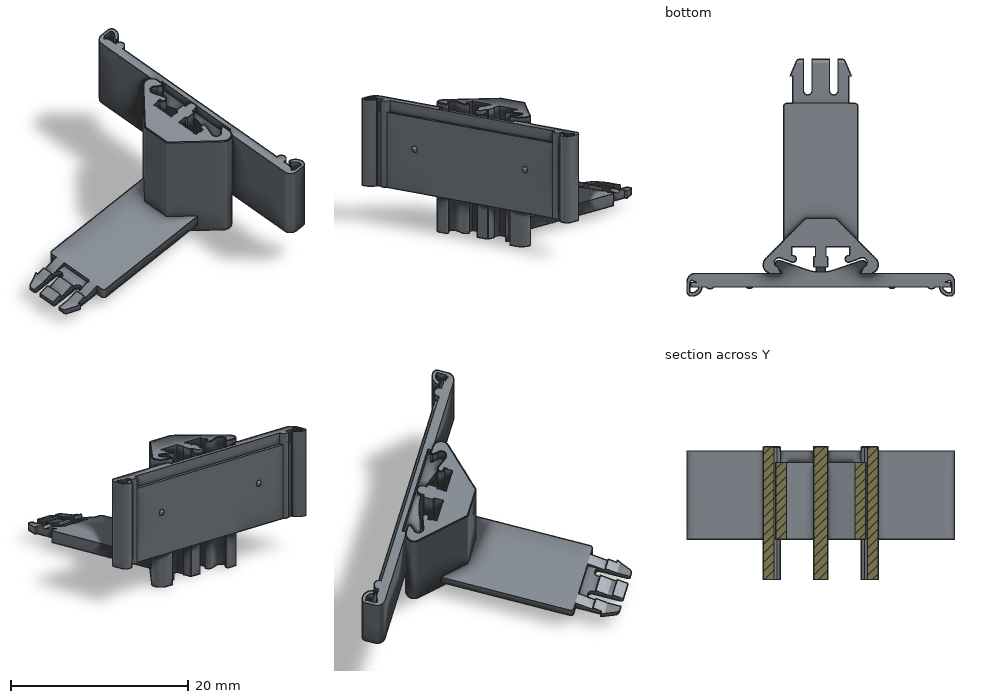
import cadquery as cq
import math

overlap = 0.3

plate_length = 30.2
bracket_height = 15.0

plate_bottom = 4.53
plate_top = 14.53
plate_front = -0.03
plate_back = 1.05
plate_corner_radius = 0.95
plate_half = plate_length / 2
clip_wall = 0.33
clip_top = 2.55
clip_round_start = 2.05
clip_round_radius = 0.5
clip_crown_x = -14.6
clip_outer_bend = (-13.77, 2.25)
clip_tip_x = -13.4
clip_tip_y = 1.7
clip_tip_inner = (-13.75, 1.48)
clip_inner_bend = (-14.05, 1.95)
clip_inner_crown = (-14.5, 2.15)
clip_inner_corner_y = 2.08
groove_bottom = (-14.6, 0.72)
groove_end_x = -13.9

strip_half = 14.68
strip_back = 1.5
strip_sunk = 0.05
strip_top = 13.23
bead_x = 8.03
bead_z = (plate_bottom + plate_top) / 2
bead_radius = 0.45
bead_height = 0.18

rib_x = 12.5
rib_radius = 0.55
rib_center_y = 1.18

rail_top = strip_top
rail_lobe_x = -4.7
rail_lobe_y = -1.1
rail_lobe_radius = 0.42
rail_neck_half = 4.47
neck_y = -0.27
neck_angle = 115
lobe_side_angle = 200
rail_lobe_end_angle = 289
rail_bend = (-1.5, -0.42)
rail_crest = (-0.75, -0.25)
rail_apex_y = -0.18
recess_half = 5.32
recess_back = 0.48

bracket_front = -6.22
bracket_front_half = 1.72
bracket_corner_half = 7.9
bracket_corner_radius = 1.0
bracket_front_radius = 0.12
bracket_chamfer = 0.1

lobe_x = rail_lobe_x
lobe_y = -1.27
lobe_radius = 0.5
mouth_half = 4.55
mouth_radius = 0.12
lip_x = -3.15
lip_y = -1.65
lip_radius = 0.4
lip_nose_angle = 10
pocket_half = 3.25
throat_floor = -2.23
pocket_floor = -3.02

pin_foot_half = 0.6
pin_body_half = 0.82
pin_head_radius = 0.5
pin_head_center_y = -0.33
pin_head_bottom = plate_top
pin_body_bottom = -1.95
pin_body_top = -0.72
pin_step = 0.1

arm_half = 4.2
arm_start = -3.78
arm_end = -19.25
arm_bottom = 1.1
arm_top = 2.48
arm_corner_radius = 0.35

tip_y = -24.22
prong_bottom = 1.25
web_top = 2.0
catch_top = 2.4
prong_outer = 3.17
prong_inner = 1.93
tongue_half = 1.0
barb_x = 3.47
barb_y = -22.3
prong_tip_x = 2.35
tip_rounding = 0.45
taper_end = (-2.78, -23.92)
tip_curve_middle = (-2.63, -24.13)
slot_radius = (prong_inner - tongue_half) / 2
slot_center_y = -20.65
prong_catch_y = -21.2
tongue_catch_y = -20.9
catch_length = 1.5
catch_lean = 0.12
tongue_hook_y = -22.95
tongue_tip_top = 2.08


def with_mirror(half):
    """Join a half that ends on X = 0 with its mirror image."""
    return half.union(half.mirror("YZ"))


def on_circle(x, y, radius, degrees):
    angle = math.radians(degrees)
    return (x + radius * math.cos(angle), y + radius * math.sin(angle))


def extrude_between(profile, bottom, top):
    return profile.close().extrude(top - bottom).translate((0, 0, bottom))


def make_plate():
    inner_x = clip_wall - plate_half
    profile = (
        cq.Workplane("XY")
        .moveTo(0, plate_front)
        .lineTo(plate_corner_radius - plate_half, plate_front)
        .radiusArc((-plate_half, plate_front + plate_corner_radius), plate_corner_radius)
        .lineTo(-plate_half, clip_round_start)
        .radiusArc((clip_crown_x, clip_top), clip_round_radius)
        .threePointArc(clip_outer_bend, (clip_tip_x, clip_tip_y))
        .lineTo(clip_tip_x, strip_back)
        .lineTo(*clip_tip_inner)
        .threePointArc(clip_inner_bend, clip_inner_crown)
        .lineTo(inner_x, clip_inner_corner_y)
        .lineTo(inner_x, plate_back)
        .lineTo(*groove_bottom)
        .lineTo(groove_end_x, plate_back)
        .lineTo(0, plate_back)
    )
    return with_mirror(extrude_between(profile, plate_bottom, plate_top))


def make_ribs():
    ribs = cq.Workplane("XY").pushPoints([(-rib_x, rib_center_y), (rib_x, rib_center_y)]).circle(rib_radius)
    return ribs.extrude(plate_top - plate_bottom).translate((0, 0, plate_bottom))


def make_strip():
    strip_front = plate_back - strip_sunk
    strip = cq.Workplane("XY").box(
        2 * strip_half, strip_back - strip_front, strip_top - plate_bottom, centered=(True, False, False)
    )
    strip = strip.translate((0, strip_front, plate_bottom))
    bead_y = strip_back + bead_height - bead_radius
    for x in (-bead_x, bead_x):
        strip = strip.union(cq.Workplane("XY").sphere(bead_radius).translate((x, bead_y, bead_z)))
    return strip


def make_rail():
    lobe = (rail_lobe_x, rail_lobe_y, rail_lobe_radius)
    profile = (
        cq.Workplane("XY")
        .moveTo(0, recess_back)
        .lineTo(-recess_half, recess_back)
        .lineTo(-recess_half, plate_front)
        .lineTo(-rail_neck_half, plate_front)
        .lineTo(-rail_neck_half, neck_y)
        .lineTo(*on_circle(*lobe, neck_angle))
        .threePointArc(on_circle(*lobe, lobe_side_angle), on_circle(*lobe, rail_lobe_end_angle))
        .lineTo(*rail_bend)
        .threePointArc(rail_crest, (0, rail_apex_y))
    )
    return with_mirror(extrude_between(profile, plate_bottom, rail_top))


def make_recess():
    profile = cq.Workplane("XY").rect(2 * recess_half, 2 * recess_back)
    return profile.extrude(plate_top - rail_top).translate((0, 0, rail_top))


def mouth_corners():
    """Upright edges where the throat opens through the bracket's back face."""
    reach = mouth_half + mouth_radius
    return cq.selectors.BoxSelector((-reach, -mouth_radius, 0), (reach, mouth_radius, bracket_height))


def make_throat():
    """Opening for the rail, from the bracket's back face down to the lips."""
    lobe = (lobe_x, lobe_y, lobe_radius)
    lip = (lip_x, lip_y, lip_radius)
    spacing = math.hypot(lip_x - lobe_x, lip_y - lobe_y)
    bearing = math.degrees(math.atan2(lip_y - lobe_y, lip_x - lobe_x))
    tangent_angle = bearing - math.degrees(math.acos((lobe_radius + lip_radius) / spacing))
    profile = (
        cq.Workplane("XY")
        .moveTo(0, overlap)
        .lineTo(-mouth_half, overlap)
        .lineTo(-mouth_half, neck_y)
        .lineTo(*on_circle(*lobe, neck_angle))
        .threePointArc(on_circle(*lobe, lobe_side_angle), on_circle(*lobe, tangent_angle))
        .lineTo(*on_circle(*lip, tangent_angle + 180))
        .threePointArc(on_circle(*lip, lip_nose_angle), on_circle(*lip, -90))
        .lineTo(-pocket_half, lip_y - lip_radius)
        .lineTo(-pocket_half, throat_floor)
        .lineTo(0, throat_floor)
    )
    return with_mirror(extrude_between(profile, 0, bracket_height))


def make_pocket():
    """Square-cornered room below the lips."""
    depth = lip_y - lip_radius - pocket_floor
    pocket = cq.Workplane("XY").box(2 * pocket_half, depth, bracket_height, centered=(True, False, False))
    return pocket.translate((0, pocket_floor, 0))


def make_pin():
    """Full-height pin body with a thin round-nosed head that reaches over the rail."""
    profile = (
        cq.Workplane("XY")
        .moveTo(0, pocket_floor - overlap)
        .lineTo(-pin_foot_half, pocket_floor - overlap)
        .lineTo(-pin_foot_half, pin_body_bottom)
        .lineTo(-pin_body_half, pin_body_bottom + pin_step)
        .lineTo(-pin_body_half, pin_body_top - pin_step)
        .lineTo(pin_step - pin_body_half, pin_body_top)
        .lineTo(0, pin_body_top)
    )
    body = with_mirror(extrude_between(profile, 0, bracket_height))
    head = (
        cq.Workplane("XY")
        .moveTo(-pin_head_radius, pin_body_bottom)
        .lineTo(-pin_head_radius, pin_head_center_y)
        .radiusArc((pin_head_radius, pin_head_center_y), pin_head_radius)
        .lineTo(pin_head_radius, pin_body_bottom)
    )
    return body.union(extrude_between(head, pin_head_bottom, bracket_height))


def make_bracket():
    corners = [
        (-bracket_corner_half, 0),
        (-bracket_front_half, bracket_front),
        (bracket_front_half, bracket_front),
        (bracket_corner_half, 0),
    ]
    body = cq.Workplane("XY").polyline(corners).close().extrude(bracket_height)
    body = body.edges("|Z and >Y").fillet(bracket_corner_radius)
    body = body.edges("|Z and <Y").fillet(bracket_front_radius)
    body = body.cut(make_throat())
    body = body.edges(mouth_corners()).fillet(mouth_radius)
    body = body.faces(">Z").edges().chamfer(bracket_chamfer)
    return body.cut(make_pocket()).union(make_pin())


def make_arm():
    length = arm_start - arm_end
    arm = cq.Workplane("XY").box(2 * arm_half, length, arm_top - arm_bottom, centered=(True, False, False))
    arm = arm.edges("|Z and <Y").fillet(arm_corner_radius)
    return arm.translate((0, arm_end, arm_bottom))


def side_profile(points):
    """Length-wise outline with the given top points, a flat bottom and a rounded lower tip."""
    return (
        cq.Workplane("YZ")
        .polyline([(arm_end + overlap, prong_bottom)] + points)
        .lineTo(tip_y, prong_bottom + tip_rounding)
        .radiusArc((tip_y + tip_rounding, prong_bottom), -tip_rounding)
        .close()
        .extrude(barb_x, both=True)
    )


def make_prongs():
    top_points = [
        (arm_end + overlap, arm_top),
        (arm_end, arm_top),
        (prong_catch_y, web_top),
        (prong_catch_y - catch_lean, catch_top),
        (prong_catch_y - catch_length, web_top),
        (tip_y, web_top),
    ]
    plan = (
        cq.Workplane("XY")
        .moveTo(-prong_inner, arm_end + overlap)
        .lineTo(-prong_outer, arm_end + overlap)
        .lineTo(-prong_outer, barb_y)
        .lineTo(-barb_x, barb_y)
        .lineTo(*taper_end)
        .threePointArc(tip_curve_middle, (-prong_tip_x, tip_y))
        .lineTo(-prong_inner, tip_y)
    )
    prong = extrude_between(plan, arm_bottom, arm_top).intersect(side_profile(top_points))
    return prong.union(prong.mirror("YZ"))


def make_tongue():
    top_points = [
        (arm_end + overlap, web_top),
        (tongue_catch_y, web_top),
        (tongue_catch_y - catch_lean, catch_top),
        (tongue_catch_y - catch_length, web_top),
        (tongue_hook_y, web_top),
        (tongue_hook_y, catch_top),
        (tip_y, tongue_tip_top),
    ]
    plan = (
        cq.Workplane("XY")
        .moveTo(0, arm_end + overlap)
        .lineTo(-prong_inner, arm_end + overlap)
        .lineTo(-prong_inner, slot_center_y)
        .radiusArc((-tongue_half, slot_center_y), slot_radius)
        .lineTo(-tongue_half, tip_y)
        .lineTo(0, tip_y)
    )
    tongue = with_mirror(extrude_between(plan, arm_bottom, arm_top))
    return tongue.intersect(side_profile(top_points))


plate = make_plate().cut(make_recess()).union(make_ribs()).union(make_strip()).union(make_rail())
arm = make_arm().union(make_prongs()).union(make_tongue())
result = plate.union(make_bracket()).union(arm).clean()